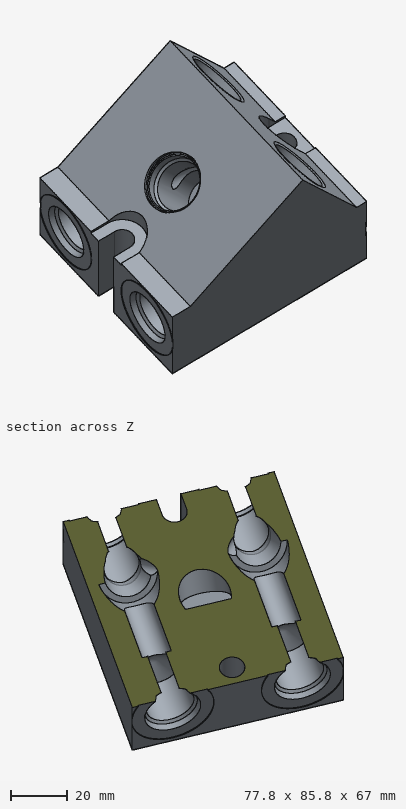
import cadquery as cq
import math

WIDTH = 77.8
LENGTH = 85.85
HEIGHT = 67.05
SHOULDER_HEIGHT = 32.7
FRONT_SHOULDER = 8.0
FRONT_SLOPE = math.radians(34.7)
REAR_SLOPE = math.pi / 2 - FRONT_SLOPE
RIDGE_RISE = HEIGHT - SHOULDER_HEIGHT
FRONT_EDGE_Y = FRONT_SHOULDER - LENGTH / 2
RIDGE_Y = FRONT_EDGE_Y + RIDGE_RISE / math.tan(FRONT_SLOPE)
REAR_EDGE_Y = RIDGE_Y + RIDGE_RISE / math.tan(REAR_SLOPE)

FRONT_INWARD = cq.Vector(0, math.sin(FRONT_SLOPE), -math.cos(FRONT_SLOPE))
REAR_INWARD = cq.Vector(0, -math.sin(REAR_SLOPE), -math.cos(REAR_SLOPE))

BOLT_Y = 35.8
BOLT_DIAMETER = 8.8
BOLT_SEAT_DIAMETER = 17.8
BOLT_SEAT_HEIGHT = 31.8

PORT_X = 23.9
PORT_Z = 16.7
SPOTFACE_RADIUS = 15.1
SPOTFACE_DEPTH = 0.35
PORT_MOUTH_RADIUS = 10.3
PORT_SEAT_RADIUS = 9.7
PORT_SEAT_DEPTH = 2.6
PORT_BORE_RADIUS = 8.75
PORT_BORE_DEPTH = 20.35
DRILL_POINT_HALF_ANGLE = math.radians(59)

VALVE_Y = 24.6
VALVE_Z = SHOULDER_HEIGHT + (REAR_EDGE_Y - VALVE_Y) * math.tan(REAR_SLOPE)
VALVE_MOUTH_RADIUS = 12.0
VALVE_MOUTH_DEPTH = 0.4
VALVE_RADIUS = 10.9
VALVE_DEPTH = 46.4
VALVE_SEAT_RADIUS = 8.6
VALVE_NOSE_RADIUS = 6.7
VALVE_NOSE_START = 53.9
VALVE_NOSE_END = (VALVE_Z - PORT_Z) / math.cos(REAR_SLOPE)

PASSAGE_RADIUS = 5.3
PASSAGE_RISE = 8.4
PASSAGE_END_Y = -6.9

CENTRE_Y = -13.6
CENTRE_Z = SHOULDER_HEIGHT + (CENTRE_Y - FRONT_EDGE_Y) * math.tan(FRONT_SLOPE)
CENTRE_MOUTH_RADIUS = 11.1
CENTRE_MOUTH_DEPTH = 1.2
CENTRE_STEP_RADIUS = 10.6
CENTRE_COLLAR_RADIUS = 10.05
CENTRE_COLLAR_START = 1.55
CENTRE_COLLAR_END = 5.2
CENTRE_BORE_RADIUS = 9.1
CENTRE_BORE_START = 6.2
CENTRE_BORE_DEPTH = 30.05

LINK_RADIUS = 2.75
LINK_START_X = 3.0
LINK_START_RISE = 9.0
LINK_END_DROP = 25.75


def revolved_bore(profile, mouth, inward):
    """Bore from (radius, depth) points, turned about the inward axis through the mouth centre."""
    across = cq.Vector(1, 0, 0)
    plane = cq.Plane(origin=mouth, xDir=across, normal=across.cross(cq.Vector(inward)))
    outline = cq.Workplane(plane).polyline([(0, 0)] + profile).close()
    return outline.revolve(360, (0, 0), (0, 1))


def block():
    half = LENGTH / 2
    outline = [
        (-half, 0),
        (half, 0),
        (half, SHOULDER_HEIGHT),
        (REAR_EDGE_Y, SHOULDER_HEIGHT),
        (RIDGE_Y, HEIGHT),
        (FRONT_EDGE_Y, SHOULDER_HEIGHT),
        (-half, SHOULDER_HEIGHT),
    ]
    return cq.Workplane("YZ").polyline(outline).close().extrude(WIDTH / 2, both=True)


def bolt_hole(end):
    plan = cq.Workplane("XY").center(0, end * BOLT_Y)
    return plan.circle(BOLT_DIAMETER / 2).extrude(HEIGHT)


def open_slot(diameter, end, floor):
    """Vertical round-ended slot about a bolt axis, open upwards and through the end face."""
    reach = LENGTH / 2 - BOLT_Y
    depth = HEIGHT - floor
    plan = cq.Workplane("XY").workplane(offset=floor).center(0, end * BOLT_Y)
    round_end = plan.circle(diameter / 2).extrude(depth)
    straight = plan.center(0, end * reach / 2).rect(diameter, reach).extrude(depth)
    return round_end.union(straight)


def port(x, end):
    bore_start = PORT_SEAT_DEPTH + PORT_SEAT_RADIUS - PORT_BORE_RADIUS
    drill_point = PORT_BORE_RADIUS / math.tan(DRILL_POINT_HALF_ANGLE)
    profile = [
        (SPOTFACE_RADIUS, 0),
        (SPOTFACE_RADIUS, SPOTFACE_DEPTH),
        (PORT_MOUTH_RADIUS, SPOTFACE_DEPTH),
        (PORT_SEAT_RADIUS, PORT_SEAT_DEPTH),
        (PORT_BORE_RADIUS, bore_start),
        (PORT_BORE_RADIUS, PORT_BORE_DEPTH),
        (0, PORT_BORE_DEPTH + drill_point),
    ]
    return revolved_bore(profile, (x, end * LENGTH / 2, PORT_Z), (0, -end, 0))


def valve_cavity(x):
    profile = [
        (VALVE_MOUTH_RADIUS, 0),
        (VALVE_RADIUS, VALVE_MOUTH_DEPTH),
        (VALVE_RADIUS, VALVE_DEPTH),
        (VALVE_SEAT_RADIUS, VALVE_DEPTH),
        (VALVE_NOSE_RADIUS, VALVE_NOSE_START),
        (VALVE_NOSE_RADIUS, VALVE_NOSE_END),
        (0, VALVE_NOSE_END),
    ]
    return revolved_bore(profile, (x, VALVE_Y, VALVE_Z), REAR_INWARD)


def rear_passage(x):
    start = cq.Vector(x, LENGTH / 2 - PORT_BORE_DEPTH, PORT_Z + PASSAGE_RISE)
    length = start.y - PASSAGE_END_Y
    return cq.Workplane(cq.Solid.makeCylinder(PASSAGE_RADIUS, length, start, cq.Vector(0, -1, 0)))


def centre_cavity():
    profile = [
        (CENTRE_MOUTH_RADIUS, 0),
        (CENTRE_MOUTH_RADIUS, CENTRE_MOUTH_DEPTH),
        (CENTRE_STEP_RADIUS, CENTRE_MOUTH_DEPTH),
        (CENTRE_STEP_RADIUS, CENTRE_COLLAR_START),
        (CENTRE_COLLAR_RADIUS, CENTRE_COLLAR_START),
        (CENTRE_COLLAR_RADIUS, CENTRE_COLLAR_END),
        (CENTRE_BORE_RADIUS, CENTRE_BORE_START),
        (CENTRE_BORE_RADIUS, CENTRE_BORE_DEPTH),
        (0, CENTRE_BORE_DEPTH),
    ]
    return revolved_bore(profile, (0, CENTRE_Y, CENTRE_Z), FRONT_INWARD)


def link_drilling(side):
    """Drilling in the plane of the valve axes, running down and outwards to one valve axis."""
    centre_mouth = cq.Vector(0, CENTRE_Y, CENTRE_Z)
    valve_mouth = cq.Vector(0, VALVE_Y, VALVE_Z)
    depth = (valve_mouth - centre_mouth).dot(FRONT_INWARD)
    axes_meet = centre_mouth + FRONT_INWARD * depth
    start = axes_meet + cq.Vector(side * LINK_START_X, 0, 0) - REAR_INWARD * LINK_START_RISE
    end = axes_meet + cq.Vector(side * PORT_X, 0, 0) + REAR_INWARD * LINK_END_DROP
    run = end - start
    return cq.Workplane(cq.Solid.makeCylinder(LINK_RADIUS, run.Length, start, run))


result = block()

for end in (-1, 1):
    result = result.cut(open_slot(BOLT_SEAT_DIAMETER, end, BOLT_SEAT_HEIGHT))
result = result.cut(open_slot(BOLT_DIAMETER, -1, 0))
result = result.cut(bolt_hole(1))

for side in (-1, 1):
    x = side * PORT_X
    result = result.cut(port(x, -1)).cut(port(x, 1))
    result = result.cut(valve_cavity(x))
    result = result.cut(rear_passage(x))

result = result.cut(centre_cavity())
for side in (-1, 1):
    result = result.cut(link_drilling(side))